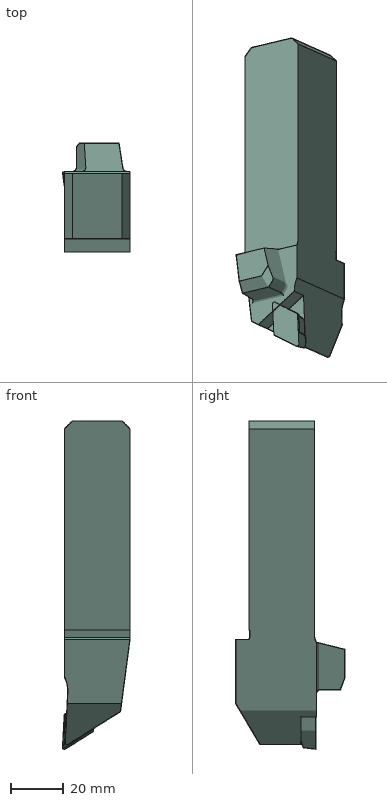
import cadquery as cq
import math


TOTAL_HEIGHT = 126.0
SHANK_SIZE = 25.2
SHANK_CHAMFER = 3.0

HEAD_TOP = 42.2
HEAD_DROP = 5.0
PAD_HEIGHT = 0.8
PAD_TOP = 41.1
PAD_BLEND = 3.0
PAD_BLEND_RADIUS = 5.5
HEAD_BOTTOM = 1.1
HEAD_BOTTOM_X = 0.3
BACK_TAPER = 7.5
BACK_CORNER_Z = 14.5
BACK_CORNER_RADIUS = 1.3
NOSE_RADIUS = 0.8
NECK_TOP = 27.7
NECK_BOTTOM = 22.5
NECK_DEPTH = 1.3
NECK_RADIUS = 12.6
BEVEL_TOP = 17.5
BEVEL_ANGLE = 30.6

RELIEF_TOP = 45.7
RELIEF_DEPTH = 0.3
RELIEF_SLOPE_TOP = 42.8

EDGE_LEAN = 3.0
POINT_ANGLE = 55.0
UNDERSIDE_ANGLE = 90 - EDGE_LEAN - POINT_ANGLE
INSERT_EDGE = 12.2
TIP_RADIUS = 0.8
TIP_OVERHANG = 0.8
CLEARANCE_ANGLE = 7.0
INSERT_THICKNESS = 5.8
RAKE_DROP = 0.3
TIP_BEVEL_WIDTH = 1.1
TIP_BEVEL_HEIGHT = 3.4
LAND_WIDTH = 1.1
RECESS_DEPTH = 0.4
RECESS_BOTTOM = 6.0
RECESS_TOP = 16.5

WALL_ANGLE = 30.6

BOSS_HEIGHT = 10.8
BOSS_TOP = PAD_TOP
BOSS_BOTTOM = 22.8
BOSS_TOP_X = 8.3
BOSS_LEFT_X = 4.4
BOSS_LEFT_Z = 25.6
BOSS_RIGHT_X = 22.7
BOSS_SLOPE_ANGLE = 50.0
BOSS_CORNER_RADIUS = 1.8
BOSS_BASE_RADIUS = 1.5
FOOT_MARGIN = 0.1
BOSS_TOP_TAPER = 14.0
BOSS_SIDE_TAPER = 7.0
BOSS_BEVEL_WIDTH = 1.6
BOSS_BEVEL_DEPTH = 4.5

PAD_Y = SHANK_SIZE + PAD_HEIGHT
RAKE_Y = PAD_Y - RAKE_DROP
SEAT_Y = RAKE_Y - INSERT_THICKNESS
BOSS_TIP_Y = PAD_Y + BOSS_HEIGHT
FAR = 2 * SHANK_SIZE


def tan(degrees):
    return math.tan(math.radians(degrees))


def sin(degrees):
    return math.sin(math.radians(degrees))


def cos(degrees):
    return math.cos(math.radians(degrees))


def front_plane(y):
    """XZ sketch plane at the given Y that extrudes towards -Y."""
    return cq.Workplane("XZ", origin=(0, y, 0))


def side_plane(x):
    """YZ sketch plane at the given X that extrudes towards +X."""
    return cq.Workplane("YZ", origin=(x, 0, 0))


def make_front_outline():
    """Whole holder outline in XZ, extruded over the full depth of the head."""
    chamfer_z = TOTAL_HEIGHT - SHANK_CHAMFER
    back_x = SHANK_SIZE - (HEAD_TOP - BACK_CORNER_Z) * tan(BACK_TAPER)
    underside_z = HEAD_BOTTOM + (back_x - HEAD_BOTTOM_X) * tan(UNDERSIDE_ANGLE)
    outline = (
        front_plane(PAD_Y)
        .moveTo(SHANK_CHAMFER, TOTAL_HEIGHT)
        .lineTo(SHANK_SIZE - SHANK_CHAMFER, TOTAL_HEIGHT)
        .lineTo(SHANK_SIZE, chamfer_z)
        .lineTo(SHANK_SIZE, HEAD_TOP)
        .lineTo(back_x, underside_z)
        .lineTo(HEAD_BOTTOM_X, HEAD_BOTTOM)
        .lineTo(NECK_DEPTH, NECK_BOTTOM)
        .radiusArc((0, NECK_TOP), -NECK_RADIUS)
        .lineTo(0, chamfer_z)
        .close()
        .extrude(PAD_Y + HEAD_DROP)
    )
    back_corner = cq.selectors.NearestToPointSelector((back_x, PAD_Y / 2, underside_z))
    nose = cq.selectors.NearestToPointSelector((HEAD_BOTTOM_X, PAD_Y / 2, HEAD_BOTTOM))
    outline = outline.edges(back_corner).fillet(BACK_CORNER_RADIUS)
    return outline.edges(nose).fillet(NOSE_RADIUS)


def make_side_outline():
    """Whole holder outline in YZ, used to trim the front outline."""
    bevel_run = BEVEL_TOP * tan(BEVEL_ANGLE)
    return (
        side_plane(-FAR)
        .moveTo(0, TOTAL_HEIGHT)
        .lineTo(0, RELIEF_TOP)
        .lineTo(RELIEF_DEPTH, RELIEF_TOP)
        .lineTo(RELIEF_DEPTH, RELIEF_SLOPE_TOP)
        .lineTo(0, HEAD_TOP)
        .lineTo(-HEAD_DROP, HEAD_TOP)
        .lineTo(-HEAD_DROP, BEVEL_TOP)
        .lineTo(bevel_run - HEAD_DROP, 0)
        .lineTo(PAD_Y, 0)
        .lineTo(PAD_Y, PAD_TOP)
        .radiusArc((SHANK_SIZE, PAD_TOP + PAD_BLEND), PAD_BLEND_RADIUS)
        .lineTo(SHANK_SIZE, TOTAL_HEIGHT)
        .close()
        .extrude(2 * FAR)
    )


def make_boss_bevel(x, z, angle):
    """Triangular cutter through (x, z), running down towards +X at the given angle."""
    tip_edge = cq.Plane(
        origin=(x, BOSS_TIP_Y, z),
        xDir=(0, -1, 0),
        normal=(-cos(angle), 0, sin(angle)),
    )
    return (
        cq.Workplane(tip_edge)
        .workplane(offset=-FAR)
        .moveTo(0, BOSS_BEVEL_DEPTH)
        .lineTo(BOSS_BEVEL_WIDTH, 0)
        .lineTo(BOSS_BEVEL_WIDTH, -FAR)
        .lineTo(0, -FAR)
        .close()
        .extrude(2 * FAR)
    )


def make_boss():
    """Tapered boss with a sloping left side and a bevelled lower tip."""
    right_bottom_x = BOSS_RIGHT_X - (BOSS_TOP - BOSS_BOTTOM) * tan(BACK_TAPER)
    level_x = BOSS_LEFT_X + (BOSS_LEFT_Z - BOSS_BOTTOM) / tan(BOSS_SLOPE_ANGLE)
    boss = (
        front_plane(BOSS_TIP_Y)
        .moveTo(BOSS_TOP_X, BOSS_TOP)
        .lineTo(BOSS_RIGHT_X, BOSS_TOP)
        .lineTo(right_bottom_x, BOSS_BOTTOM)
        .lineTo(level_x, BOSS_BOTTOM)
        .lineTo(BOSS_LEFT_X, BOSS_LEFT_Z)
        .close()
        .extrude(BOSS_HEIGHT)
    )
    corner = cq.selectors.NearestToPointSelector((BOSS_LEFT_X, PAD_Y + BOSS_HEIGHT / 2, BOSS_LEFT_Z))
    boss = boss.edges(corner).fillet(BOSS_CORNER_RADIUS)

    top_taper = (
        side_plane(-FAR)
        .moveTo(PAD_Y, BOSS_TOP)
        .lineTo(BOSS_TIP_Y, BOSS_TOP)
        .lineTo(BOSS_TIP_Y, BOSS_TOP - BOSS_HEIGHT * tan(BOSS_TOP_TAPER))
        .close()
        .extrude(2 * FAR)
    )
    side_taper = (
        cq.Workplane("XY")
        .moveTo(BOSS_RIGHT_X, PAD_Y)
        .lineTo(BOSS_RIGHT_X, BOSS_TIP_Y)
        .lineTo(BOSS_RIGHT_X - BOSS_HEIGHT * tan(BOSS_SIDE_TAPER), BOSS_TIP_Y)
        .close()
        .extrude(TOTAL_HEIGHT)
        .rotate((BOSS_RIGHT_X, 0, BOSS_TOP), (BOSS_RIGHT_X, 1, BOSS_TOP), BACK_TAPER)
    )
    boss = boss.cut(top_taper).cut(side_taper)
    boss = boss.cut(make_boss_bevel(BOSS_LEFT_X, BOSS_LEFT_Z, BOSS_SLOPE_ANGLE))
    return boss.cut(make_boss_bevel(level_x, BOSS_BOTTOM, 0))


def make_pocket():
    """Open corner below the sloping wall, down to the insert seat."""
    wall_start_z = NECK_BOTTOM + NECK_DEPTH * tan(WALL_ANGLE)
    return (
        front_plane(PAD_Y)
        .moveTo(-FAR, wall_start_z + FAR * tan(WALL_ANGLE))
        .lineTo(FAR, wall_start_z - FAR * tan(WALL_ANGLE))
        .lineTo(-FAR, -FAR)
        .close()
        .extrude(PAD_Y - SEAT_Y)
    )


def make_insert_blank(inset=0.0):
    """Rhombic insert with round corners, narrowing from the rake face to the seat."""
    tip = (TIP_RADIUS - TIP_OVERHANG, TIP_RADIUS)
    left_edge = (INSERT_EDGE * sin(EDGE_LEAN), INSERT_EDGE * cos(EDGE_LEAN))
    under_edge = (INSERT_EDGE * cos(UNDERSIDE_ANGLE), INSERT_EDGE * sin(UNDERSIDE_ANGLE))
    return (
        front_plane(RAKE_Y)
        .moveTo(*tip)
        .line(*under_edge)
        .line(*left_edge)
        .line(-under_edge[0], -under_edge[1])
        .close()
        .offset2D(TIP_RADIUS - inset)
        .extrude(INSERT_THICKNESS, taper=CLEARANCE_ANGLE)
    )


def make_insert():
    tip_bevel = (
        side_plane(-FAR)
        .moveTo(SEAT_Y, TIP_BEVEL_HEIGHT)
        .lineTo(SEAT_Y + TIP_BEVEL_WIDTH, 0)
        .lineTo(SEAT_Y, 0)
        .close()
        .extrude(2 * FAR)
    )
    recess_right_x = INSERT_EDGE / 2
    recess = (
        cq.Workplane("XY")
        .box(FAR, RAKE_Y - LAND_WIDTH - SEAT_Y, RECESS_TOP - RECESS_BOTTOM, centered=False)
        .translate((recess_right_x - FAR, SEAT_Y, RECESS_BOTTOM))
        .cut(make_insert_blank(RECESS_DEPTH))
    )
    return make_insert_blank().cut(tip_bevel).cut(recess)


def make_holder():
    holder = make_front_outline().intersect(make_side_outline())
    holder = holder.union(make_boss())
    boss_foot = cq.selectors.BoxSelector(
        (BOSS_LEFT_X - FOOT_MARGIN, PAD_Y - FOOT_MARGIN, BOSS_BOTTOM - FOOT_MARGIN),
        (BOSS_RIGHT_X + FOOT_MARGIN, PAD_Y + FOOT_MARGIN, BOSS_TOP - FOOT_MARGIN),
    )
    holder = holder.edges(boss_foot).fillet(BOSS_BASE_RADIUS)
    return holder.cut(make_pocket()).cut(make_insert_blank())


holder = make_holder()
insert = make_insert()

result = cq.Compound.makeCompound([holder.val(), insert.val()])